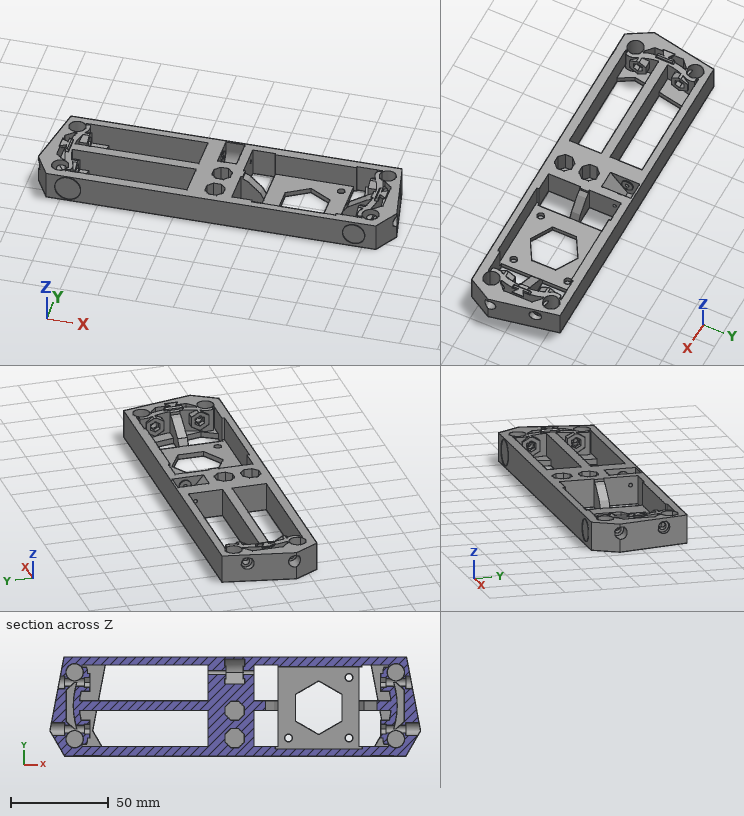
import cadquery as cq

length = 190.0
width = 51.0
height = 15.0
shoulder_x = 87.8
heel_x = 87.4
tip_y = -12.4

spine_y = 0.48
opening_width = 41.6
spine_width = 5.1
opening_top = spine_y + opening_width / 2
opening_bottom = spine_y - opening_width / 2
bridge_left = -14.0
bridge_right = 9.7

pin_x = -82.3
pin_offset = 17.1
pin_radius = 4.4
pin_depth = 11.4
pin_lobe_radius = 6.6
lobe_start_offset = 19.8
lobe_end_offset = 13.9
lobe_notch_x = -78.5
wall_inner_x = -79.8
lobe_start_x = pin_x + (pin_lobe_radius**2 - (lobe_start_offset - pin_offset) ** 2) ** 0.5
lobe_end_x = pin_x + (pin_lobe_radius**2 - (pin_offset - lobe_end_offset) ** 2) ** 0.5
ledge_thickness = 3.0
left_ledge_reach = 22.0
right_ledge_reach = 19.0

screw_offset = 12.0
screw_z = 10.0
screw_radius = 1.9
screw_head_radius = 3.2
screw_head_depth = 7.6
boss_flats = 9.3
boss_inner_x = -74.5
nut_flats = 5.0
nut_depth = 2.8

slot_outer_x = -86.5
slot_half_width = 8.2
slot_tip_x = -82.3
arm_end_x = -81.1
slot_tip_offset = 12.0
arm_outer_x = -83.0
slot_depth = 7.6
catch_height = 1.5
catch_outer_half = 3.5
catch_neck_half = 1.3
catch_inner_x = -81.1
catch_undercut = 1.3
crest_base_half = 5.1
crest_top_half = 4.4
crest_chamfer = 0.8

motor_x = 42.8
motor_y = -0.5
bay_left = 20.5
bay_right = 65.0
bay_bottom = -21.7
bay_top = 20.3
plate_left = 21.8
plate_right = 63.5
plate_thickness = 2.7
hex_radius = 13.7
screw_pitch = 31.0
motor_screw_radius = 1.9
bay_profile = [
    (10.6, height), (10.6, 13.7), (13.3, 12.4), (20.0, 6.0), (plate_left, plate_thickness),
    (plate_right, plate_thickness), (66.0, 6.0), (76.2, 12.5), (78.7, 13.5), (78.7, height),
]

bridge_x = -0.28
pocket_width = 10.0
octagon_flats = 9.7
octagon_depth = 11.4
octagon_centres_y = (-2.0, -16.2)
axle_y = 17.5
axle_z = 10.3
axle_radius = 1.0
wheel_radius = 6.8
ramp_end_y = 7.6
washer_radius = 3.2
washer_height = 0.66

side_recesses = ((-76.0, 6.8), (75.6, 5.9))
side_recess_depth = 0.4


def box(x0, x1, y0, y1, z0, z1):
    return cq.Workplane("XY").box(x1 - x0, y1 - y0, z1 - z0, centered=False).translate((x0, y0, z0))


def cylinder_x(x0, x1, y, z, radius):
    return cq.Workplane("YZ", origin=(x0, y, z)).circle(radius).extrude(x1 - x0)


def outline(inset_left, inset_right, depth):
    """Plate with the frame outline, its slanted ends moved inward along X."""
    half = length / 2
    points = [
        (inset_left - shoulder_x, width / 2), (shoulder_x - inset_right, width / 2),
        (half - inset_right, tip_y), (heel_x - inset_right, -width / 2),
        (inset_left - heel_x, -width / 2), (inset_left - half, tip_y),
    ]
    return cq.Workplane("XY").polyline(points).close().extrude(depth)


def both_ends(solid):
    return solid.union(solid.mirror("YZ"))


def opening_cut():
    """Space between the side rails, bounded at each end by the curved end wall."""
    half = (
        cq.Workplane("XY")
        .moveTo(0, opening_top)
        .lineTo(lobe_notch_x, opening_top)
        .lineTo(lobe_notch_x, spine_y + lobe_start_offset)
        .lineTo(lobe_start_x, spine_y + lobe_start_offset)
        .threePointArc(
            (pin_x + pin_lobe_radius, spine_y + pin_offset),
            (lobe_end_x, spine_y + lobe_end_offset),
        )
        .threePointArc((wall_inner_x, spine_y), (lobe_end_x, spine_y - lobe_end_offset))
        .threePointArc(
            (pin_x + pin_lobe_radius, spine_y - pin_offset),
            (lobe_start_x, spine_y - lobe_start_offset),
        )
        .lineTo(lobe_notch_x, spine_y - lobe_start_offset)
        .lineTo(lobe_notch_x, opening_bottom)
        .lineTo(0, opening_bottom)
        .close()
        .extrude(height)
    )
    return both_ends(half)


def frame():
    body = outline(0, 0, height)
    inside = opening_cut()
    bridge = box(bridge_left, bridge_right, opening_bottom, opening_top, 0, height)
    spine = box(
        wall_inner_x, -wall_inner_x,
        spine_y - spine_width / 2, spine_y + spine_width / 2, 0, height,
    )
    ledges = outline(0, 0, ledge_thickness).cut(
        outline(left_ledge_reach, right_ledge_reach, ledge_thickness)
    )
    return body.cut(inside).union(bridge).union(spine).union(ledges)


def add_motor_bay(body):
    rail_pad = box(plate_left, bay_right, bay_top, opening_top, 0, height)
    plate = box(plate_left, plate_right, opening_bottom, opening_top, 0, plate_thickness)
    rail_recess = box(bay_left, bay_right, bay_bottom, opening_bottom, plate_thickness, height)
    spine_gap = (
        cq.Workplane("XZ", origin=(0, spine_y + spine_width / 2, 0))
        .polyline(bay_profile).close().extrude(spine_width)
    )
    window = (
        cq.Workplane("XY", origin=(motor_x, motor_y, 0))
        .transformed(rotate=(0, 0, 90)).polygon(6, 2 * hex_radius).extrude(plate_thickness)
    )
    half_pitch = screw_pitch / 2
    screw_points = [(half_pitch, half_pitch), (half_pitch, -half_pitch), (-half_pitch, -half_pitch)]
    screws = (
        cq.Workplane("XY", origin=(motor_x, motor_y, 0))
        .pushPoints(screw_points).circle(motor_screw_radius).extrude(plate_thickness)
    )
    body = body.cut(spine_gap).union(plate).union(rail_pad)
    return body.cut(rail_recess).cut(window).cut(screws)


def add_screw_mounts(body):
    for y in (spine_y - screw_offset, spine_y + screw_offset):
        boss = (
            cq.Workplane("YZ", origin=(pin_x, y, screw_z))
            .polygon(6, boss_flats, circumscribed=True)
            .extrude(boss_inner_x - pin_x)
            .intersect(outline(0, 0, height))
        )
        bore = cylinder_x(-length / 2, boss_inner_x, y, screw_z, screw_radius)
        head = cylinder_x(-length / 2, screw_head_depth - length / 2, y, screw_z, screw_head_radius)
        nut = (
            cq.Workplane("YZ", origin=(boss_inner_x - nut_depth, y, screw_z))
            .polygon(6, nut_flats, circumscribed=True).extrude(nut_depth)
        )
        body = body.union(both_ends(boss))
        for cutter in (bore, head, nut):
            body = body.cut(cutter).cut(cutter.mirror("YZ"))
    return body


def cut_pin_sockets(body):
    sockets = (
        cq.Workplane("XY", origin=(pin_x, spine_y, height))
        .pushPoints([(0, pin_offset), (0, -pin_offset)]).circle(pin_radius).extrude(-pin_depth)
    )
    return body.cut(both_ends(sockets))


def add_latches(body):
    slot = (
        cq.Workplane("XY", origin=(0, spine_y, height))
        .moveTo(slot_tip_x, slot_tip_offset)
        .lineTo(slot_outer_x, slot_half_width)
        .lineTo(slot_outer_x, -slot_half_width)
        .lineTo(slot_tip_x, -slot_tip_offset)
        .lineTo(arm_end_x, -slot_tip_offset)
        .threePointArc((arm_outer_x, 0), (arm_end_x, slot_tip_offset))
        .close()
        .extrude(-slot_depth)
    )
    crest = (
        cq.Workplane("YZ", origin=(arm_outer_x, spine_y, height))
        .polyline([
            (-crest_base_half, 0), (crest_base_half, 0),
            (crest_top_half, catch_height), (-crest_top_half, catch_height),
        ])
        .close()
        .extrude(catch_inner_x - arm_outer_x)
        .faces(">X").edges(">Z").chamfer(crest_chamfer)
    )
    hook = (
        cq.Workplane("XY", origin=(0, spine_y, height))
        .polyline([
            (slot_outer_x, catch_outer_half), (slot_outer_x, -catch_outer_half),
            (arm_outer_x, -catch_neck_half), (arm_outer_x, catch_neck_half),
        ])
        .close()
        .extrude(catch_height)
    )
    undercut = (
        cq.Workplane("XZ", origin=(slot_outer_x, spine_y + catch_outer_half, height))
        .polyline([(0, 0), (catch_undercut, 0), (0, catch_undercut)])
        .close()
        .extrude(2 * catch_outer_half)
    )
    catch = crest.union(hook.cut(undercut))
    return body.cut(both_ends(slot)).union(both_ends(catch))


def cut_bridge_features(body):
    octagons = (
        cq.Workplane("XY", origin=(bridge_x, 0, height))
        .pushPoints([(0, y) for y in octagon_centres_y])
        .polygon(8, octagon_flats, circumscribed=True).extrude(-octagon_depth)
    )
    body = body.cut(octagons)

    x0 = bridge_x - pocket_width / 2
    x1 = bridge_x + pocket_width / 2
    quarter = wheel_radius * 0.5**0.5
    pocket = (
        cq.Workplane("YZ", origin=(x0, 0, 0))
        .moveTo(ramp_end_y, height)
        .lineTo(axle_y, axle_z - wheel_radius)
        .threePointArc((axle_y + quarter, axle_z - quarter), (axle_y + wheel_radius, axle_z))
        .lineTo(axle_y + wheel_radius, height)
        .close()
        .extrude(pocket_width)
    )
    axle = cylinder_x(bridge_left, bridge_right, axle_y, axle_z, axle_radius)
    left_washer = cylinder_x(x0, x0 + washer_height, axle_y, axle_z, washer_radius)
    right_washer = cylinder_x(x1 - washer_height, x1, axle_y, axle_z, washer_radius)
    return body.cut(pocket).union(left_washer).union(right_washer).cut(axle)


def cut_side_recesses(body):
    for x, radius in side_recesses:
        recess = (
            cq.Workplane("XZ", origin=(x, -width / 2, height / 2))
            .circle(radius).extrude(-side_recess_depth)
        )
        body = body.cut(recess)
    return body


result = frame()
result = add_motor_bay(result)
result = add_screw_mounts(result)
result = cut_pin_sockets(result)
result = add_latches(result)
result = cut_bridge_features(result)
result = cut_side_recesses(result)